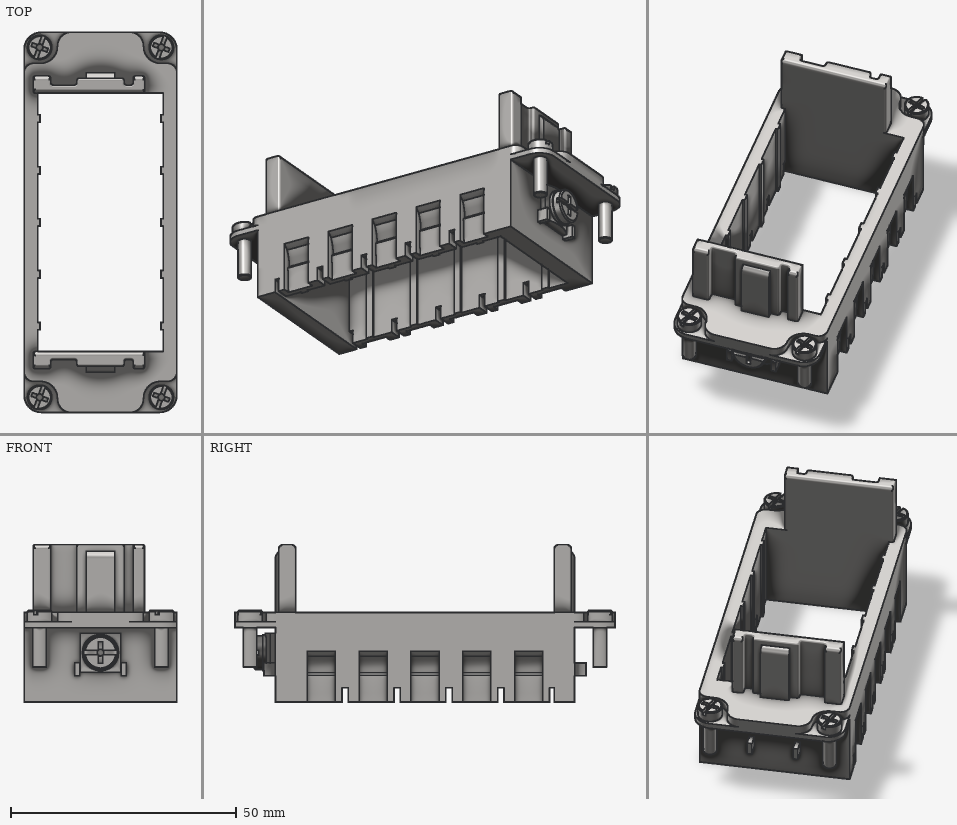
import cadquery as cq
import math

frame_width = 34.0
frame_length = 66.5
frame_top = 19.9
window_width = 27.8
window_length = 57.4

plate_length = 84.5
plate_corner_radius = 3.9
ledge_bottom = 16.6
ledge_top = 17.8

recess_x = 9.55
recess_y = 35.3
recess_radius = 3.8
end_flare_radius = 3.0

screw_x = 13.5
screw_y = 38.9
shank_diameter = 3.0
shank_bottom = 7.7
shank_chamfer = 0.2
head_diameter = 5.4
head_top = 20.4
head_chamfer = 0.25
drive_width = 0.85
drive_cross_length = 3.7
drive_pit_diameter = 1.5
drive_depth = 1.0
drive_pit_depth = 1.7
drive_angle = 70

module_count = 5
module_span = 46.1
module_pitch = module_span / (module_count - 1)
guide_rib_width = 1.7
guide_rib_depth = 0.5
slot_width = 1.35
slot_height = 3.1
slot_shift = 5.3

pocket_length = 6.25
pocket_top = 11.3
pocket_lead_in = 1.1
pocket_depth = 2.0
pocket_curve_end = 6.5
lip_depth = 1.4
lip_top = 5.9
pocket_foot_depth = 1.7

tower_top = 35.0
tower_left = -14.95
tower_right = 9.8
left_leg_inner = -11.1
right_leg_inner = 7.3
tower_inner_y = window_length / 2
web_outer_y = 30.5
spine_half_width = 5.2
spine_outer_y = 32.0
leg_outer_y = 32.5
tower_edge_radius = 0.55
tower_rim_radius = 0.5
tower_crown_radius = 1.0
latch_width = 6.4
latch_top = 33.6
latch_radius = 1.8

clamp_width = 9.0
clamp_height = 8.7
clamp_edge_depth = 1.2
clamp_depth = 2.3
terminal_z = 11
flange_diameter = 8.0
flange_start = 2.0
flange_end = 2.8
terminal_head_diameter = 7.5
terminal_head_end = 4.7
terminal_chamfer = 0.3
terminal_drive_width = 1.0
terminal_cross_length = 4.7
terminal_pit_diameter = 1.5

tab_inner_x = 4.65
tab_width = 1.1
tab_bottom = 5.8
tab_height = 2.9
tab_depth = 2.5

half_width = frame_width / 2
half_length = frame_length / 2
half_plate = plate_length / 2
module_positions = [i * module_pitch - module_span / 2 for i in range(module_count)]


def block(x_range, y_range, z_range):
    size = [high - low for low, high in (x_range, y_range, z_range)]
    corner = (x_range[0], y_range[0], z_range[0])
    return cq.Workplane("XY").box(*size, centered=False).translate(corner)


def both_ends(shape):
    return shape.union(shape.mirror("XZ"))


def both_sides(shape):
    return shape.union(shape.mirror("YZ"))


def frame():
    body = cq.Workplane("XY").box(frame_width, frame_length, frame_top, centered=(True, True, False))
    plate = (
        cq.Workplane("XY", origin=(0, 0, ledge_bottom))
        .rect(frame_width, plate_length)
        .extrude(frame_top - ledge_bottom)
        .edges("|Z")
        .fillet(plate_corner_radius)
    )
    window = cq.Workplane("XY").rect(window_width, window_length).extrude(frame_top)
    return body.union(plate).cut(window)


def corner_recess():
    """Recess of the +X +Y corner, open to the side and to the end of the plate."""
    diagonal = math.sqrt(0.5)
    arc_x = recess_x + recess_radius
    arc_y = recess_y + recess_radius
    side_flare_radius = recess_y - half_length
    flare_x = half_width - side_flare_radius
    end_x = recess_x - end_flare_radius
    end_y = half_plate - end_flare_radius
    return (
        cq.Workplane("XY", origin=(0, 0, ledge_top))
        .moveTo(half_width, half_length)
        .threePointArc(
            (flare_x + side_flare_radius * diagonal, half_length + side_flare_radius * diagonal),
            (flare_x, recess_y),
        )
        .lineTo(arc_x, recess_y)
        .threePointArc(
            (arc_x - recess_radius * diagonal, arc_y - recess_radius * diagonal),
            (recess_x, arc_y),
        )
        .lineTo(recess_x, end_y)
        .threePointArc(
            (end_x + end_flare_radius * diagonal, end_y + end_flare_radius * diagonal),
            (end_x, half_plate),
        )
        .lineTo(half_width, half_plate)
        .close()
        .extrude(frame_top - ledge_top)
    )


def cross_drive(slot_length, width, cross_length, pit_diameter):
    """Cutter with a slot along X, a short cross slot and a deeper round pit, below Z = 0."""
    drive = cq.Workplane("XY").rect(slot_length, width).extrude(-drive_depth)
    cross = cq.Workplane("XY").rect(width, cross_length).extrude(-drive_depth)
    pit = cq.Workplane("XY").circle(pit_diameter / 2).extrude(-drive_pit_depth)
    return drive.union(cross).union(pit)


def corner_screw():
    shank = (
        cq.Workplane("XY", origin=(0, 0, shank_bottom))
        .circle(shank_diameter / 2)
        .extrude(ledge_top - shank_bottom)
        .faces("<Z")
        .chamfer(shank_chamfer)
    )
    head = (
        cq.Workplane("XY", origin=(0, 0, ledge_top))
        .circle(head_diameter / 2)
        .extrude(head_top - ledge_top)
        .faces(">Z")
        .chamfer(head_chamfer)
    )
    drive = cross_drive(head_diameter, drive_width, drive_cross_length, drive_pit_diameter)
    drive = drive.rotate((0, 0, 0), (0, 0, 1), drive_angle).translate((0, 0, head_top))
    return shank.union(head).cut(drive)


def latch_pocket():
    """Pocket in the +X rail: sloped roof, concave back and a lip above the foot wall."""
    curve_start_z = pocket_top - pocket_lead_in
    curve_drop = curve_start_z - pocket_curve_end
    curve_sink = pocket_depth - pocket_lead_in
    curve_radius = (curve_drop**2 + curve_sink**2) / (2 * curve_sink)
    middle_angle = math.asin(curve_drop / curve_radius) / 2
    curve_middle = (
        half_width - pocket_depth + curve_radius * (1 - math.cos(middle_angle)),
        pocket_curve_end + curve_radius * math.sin(middle_angle),
    )
    return (
        cq.Workplane("XZ", origin=(0, pocket_length / 2, 0))
        .moveTo(half_width, pocket_top)
        .lineTo(half_width - pocket_lead_in, curve_start_z)
        .threePointArc(curve_middle, (half_width - pocket_depth, pocket_curve_end))
        .lineTo(half_width - lip_depth, lip_top)
        .lineTo(half_width - pocket_foot_depth, 0)
        .lineTo(half_width, 0)
        .close()
        .extrude(pocket_length)
    )


def guide_rib():
    """Rib standing on the inner face of the +X rail."""
    wall_x = window_width / 2
    return block(
        (wall_x - guide_rib_depth, wall_x),
        (-guide_rib_width / 2, guide_rib_width / 2),
        (0, frame_top),
    )


def bottom_slot(y):
    """Slot through both rails, stopping at the end walls of the window."""
    y_end = min(y + slot_width / 2, window_length / 2)
    return block((-half_width, half_width), (y - slot_width / 2, y_end), (0, slot_height))


def tower():
    """Tower of the +Y end: a web with two legs, a central spine and a latch."""
    height = tower_top - frame_top
    plan = [
        (tower_left, tower_inner_y),
        (tower_right, tower_inner_y),
        (tower_right, leg_outer_y),
        (right_leg_inner, leg_outer_y),
        (right_leg_inner, web_outer_y),
        (spine_half_width, web_outer_y),
        (spine_half_width, spine_outer_y),
        (-spine_half_width, spine_outer_y),
        (-spine_half_width, web_outer_y),
        (left_leg_inner, web_outer_y),
        (left_leg_inner, leg_outer_y),
        (tower_left, leg_outer_y),
    ]
    column = (
        cq.Workplane("XY", origin=(0, 0, frame_top))
        .polyline(plan)
        .close()
        .extrude(height)
        .edges("|Z")
        .fillet(tower_edge_radius)
        .faces(">Z")
        .edges()
        .fillet(tower_rim_radius)
    )
    envelope = block((tower_left, tower_right), (tower_inner_y, leg_outer_y), (frame_top, tower_top))
    column = column.intersect(envelope.edges("|X and >Z").fillet(tower_crown_radius))
    latch = block(
        (-latch_width / 2, latch_width / 2), (web_outer_y, half_length), (frame_top, latch_top)
    )
    latch = latch.edges(">Y and >Z").fillet(latch_radius)
    return column.union(latch)


def earth_terminal():
    """Bowed clamp and cross-slotted screw on the -Y end face."""
    clamp_half = clamp_width / 2
    clamp = (
        cq.Workplane("XY", origin=(0, -half_length, terminal_z - clamp_height / 2))
        .moveTo(-clamp_half, 0)
        .lineTo(-clamp_half, -clamp_edge_depth)
        .threePointArc((0, -clamp_depth), (clamp_half, -clamp_edge_depth))
        .lineTo(clamp_half, 0)
        .close()
        .extrude(clamp_height)
    )
    seat = cq.Workplane("XY", origin=(0, 0, flange_start))
    flange = seat.circle(flange_diameter / 2).extrude(flange_end - flange_start)
    head = (
        seat.circle(terminal_head_diameter / 2)
        .extrude(terminal_head_end - flange_start)
        .faces(">Z")
        .chamfer(terminal_chamfer)
    )
    drive = cross_drive(
        terminal_head_diameter, terminal_drive_width, terminal_cross_length, terminal_pit_diameter
    ).translate((0, 0, terminal_head_end))
    screw = flange.union(head).cut(drive)
    screw = screw.rotate((0, 0, 0), (1, 0, 0), 90).translate((0, -half_length, terminal_z))
    return clamp.union(screw)


def end_tab():
    """Tab of the +X half on the +Y end face."""
    return block(
        (tab_inner_x, tab_inner_x + tab_width),
        (half_length, half_length + tab_depth),
        (tab_bottom, tab_bottom + tab_height),
    )


result = frame().cut(both_ends(both_sides(corner_recess())))

rail_pockets = both_sides(latch_pocket())
rail_ribs = both_sides(guide_rib())
for y in module_positions:
    result = result.cut(rail_pockets.translate((0, y, 0)))
    result = result.union(rail_ribs.translate((0, y, 0)))
    result = result.cut(bottom_slot(y + slot_shift))

result = result.union(both_ends(tower()))
result = result.union(both_ends(both_sides(end_tab())))
result = result.union(earth_terminal())

for x in (-screw_x, screw_x):
    for y in (-screw_y, screw_y):
        result = result.union(corner_screw().translate((x, y, 0)))